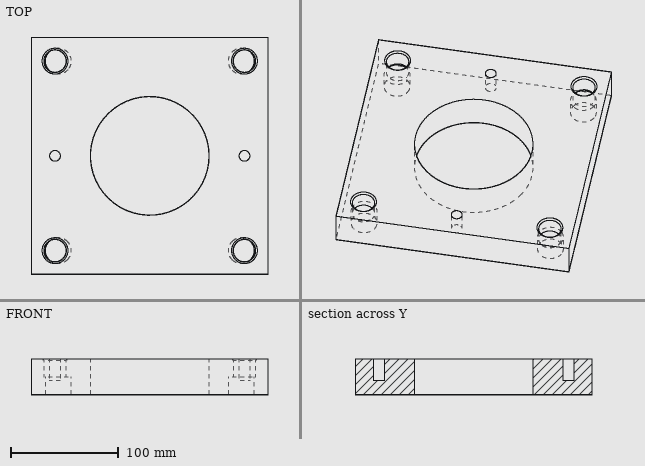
import cadquery as cq

plate_side = 220.0
plate_thickness = 33.5

bore_diameter = 110.0

upper_hole_spacing = 176.0
upper_hole_diameter = 20.752
upper_hole_rim_diameter = 24.0
upper_hole_depth = plate_thickness / 2
upper_hole_chamfer = (upper_hole_rim_diameter - upper_hole_diameter) / 2
lower_hole_spacing_x = 170.0
lower_hole_diameter = 24.0

pin_hole_diameter = 10.0
pin_hole_depth = 20.0


def make_plate():
    """Plain square plate with the central bore."""
    outline = cq.Workplane("XY").rect(plate_side, plate_side)
    return outline.circle(bore_diameter / 2).extrude(plate_thickness)


def hole_pair_grid(z, spacing_x, spacing_y, rows):
    """Workplane at height z with two columns of hole centres, symmetric about the origin."""
    return cq.Workplane("XY", origin=(0, 0, z)).rarray(spacing_x, spacing_y, 2, rows)


def cut_upper_corner_holes(body):
    """Four holes from the top face, each with a 45 degree chamfer at the rim."""
    centres = hole_pair_grid(plate_thickness, upper_hole_spacing, upper_hole_spacing, 2)
    shafts = centres.circle(upper_hole_diameter / 2).extrude(-upper_hole_depth)
    chamfers = centres.circle(upper_hole_rim_diameter / 2).extrude(-upper_hole_chamfer, taper=45)
    return body.cut(shafts).cut(chamfers)


def cut_lower_corner_holes(body):
    """Four wider holes from the bottom face, up to the floor of the upper holes."""
    centres = hole_pair_grid(0, lower_hole_spacing_x, upper_hole_spacing, 2)
    lower_hole_depth = plate_thickness - upper_hole_depth
    return body.cut(centres.circle(lower_hole_diameter / 2).extrude(lower_hole_depth))


def cut_pin_holes(body):
    """Two blind holes from the top face."""
    centres = hole_pair_grid(plate_thickness, upper_hole_spacing, upper_hole_spacing, 1)
    return body.cut(centres.circle(pin_hole_diameter / 2).extrude(-pin_hole_depth))


result = make_plate()
result = cut_upper_corner_holes(result)
result = cut_lower_corner_holes(result)
result = cut_pin_holes(result)